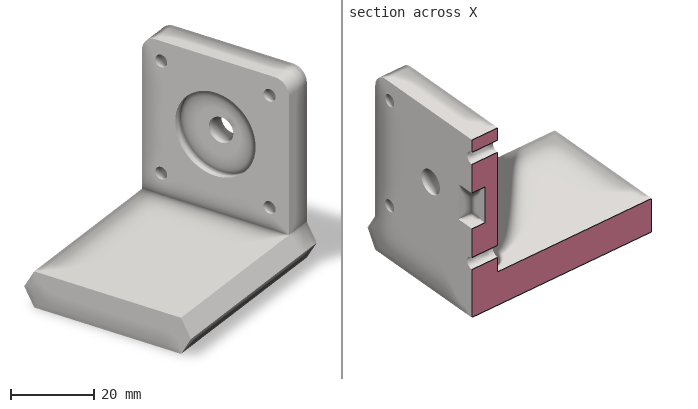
import cadquery as cq
import math

length = 56.0
plate_width = 42.0
rail_radius = 5.75
plate_thickness = 2 * rail_radius * math.cos(math.pi / 6)
rail_x = (plate_width - rail_radius) / 2

total_height = 52.5
upright_thickness = 8.0
corner_radius = 4.0

axis_z = total_height - plate_width / 2
bore_diameter = 7.0
recess_diameter = 23.0
recess_depth = 2.5
screw_pitch = 31.0
screw_diameter = 3.4

pocket_height = 10.4
pocket_length = pocket_height
pocket_depth = upright_thickness / 2

upright_front_y = length - upright_thickness


def make_base():
    base = cq.Workplane("XY").box(plate_width, length, plate_thickness, centered=(True, False, False))
    rail_centres = [(side * rail_x, plate_thickness / 2) for side in (-1, 1)]
    rails = (
        cq.Workplane("XZ")
        .pushPoints(rail_centres)
        .polygon(6, 2 * rail_radius)
        .extrude(-length)
    )
    return base.union(rails)


def make_upright():
    return (
        cq.Workplane("XY")
        .box(plate_width, upright_thickness, total_height, centered=(True, False, False))
        .translate((0, upright_front_y, 0))
        .edges("|Y and >Z")
        .fillet(corner_radius)
    )


def motor_cut(points, diameter, depth):
    """Cylinders running towards +Y from the front face of the upright."""
    return (
        cq.Workplane("XZ", origin=(0, upright_front_y, axis_z))
        .pushPoints(points)
        .circle(diameter / 2)
        .extrude(-depth)
    )


def make_edge_pocket():
    return (
        cq.Workplane("XY")
        .box(pocket_length, pocket_depth, pocket_height, centered=(False, False, True))
        .translate((-plate_width / 2, length - pocket_depth, axis_z))
    )


axis = [(0, 0)]
screw_positions = [
    (x_side * screw_pitch / 2, z_side * screw_pitch / 2)
    for x_side in (-1, 1)
    for z_side in (-1, 1)
]

result = (
    make_base()
    .union(make_upright())
    .cut(motor_cut(axis, recess_diameter, recess_depth))
    .cut(motor_cut(axis, bore_diameter, upright_thickness))
    .cut(motor_cut(screw_positions, screw_diameter, upright_thickness))
    .cut(make_edge_pocket())
)